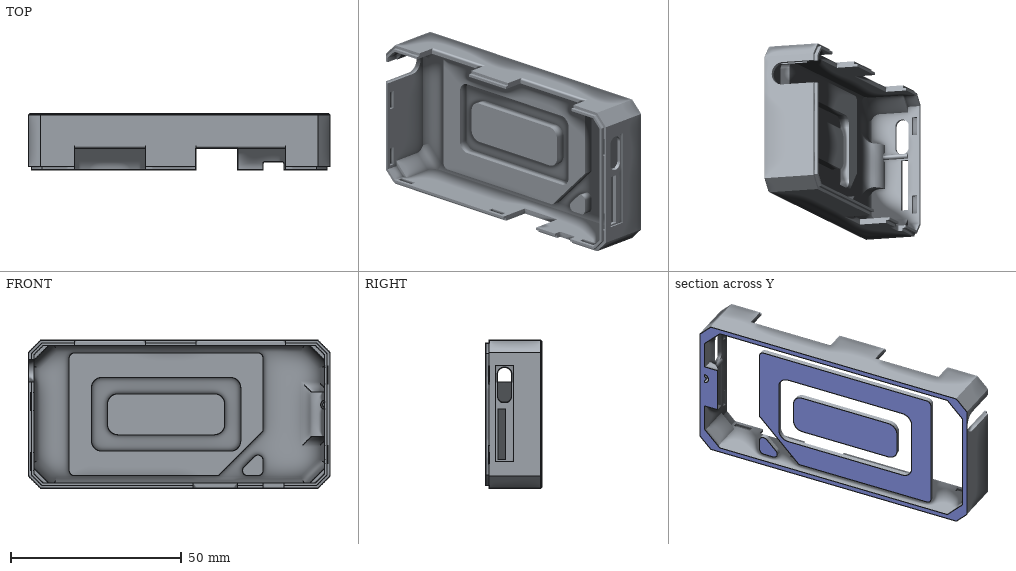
import cadquery as cq
import math

LENGTH = 88.5
DEPTH = 16.5
HEIGHT = 43.5
CORNER_CUT = 3.6
WALL = 1.6
FLOOR = 0.8
BACK_CHAMFER = 0.4
FRONT_Y = -DEPTH / 2
BACK_Y = DEPTH / 2
FLOOR_Y = BACK_Y - FLOOR

LIP_INSET = 0.85
LIP_HEIGHT = 1.0
SHOULDER_Y = FRONT_Y + LIP_HEIGHT

FLOOR_FILLET = 3.0
ROUNDED_CAVITY_INSET = 0.35
CORNER_WALL = 2.75
THIN_CORNER_DEPTH = 3.65

PAD_TOP_Y = 4.7
PAD_CENTER_X = -3.85
PAD_LENGTH = 56.9
PAD_HEIGHT = 36.0
PAD_RADIUS = 1.5
PAD_CUT = 13.1
POCKET_LENGTH = 43.8
POCKET_HEIGHT = 21.6
ISLAND_LENGTH = 34.4
ISLAND_HEIGHT = 12.0
POCKET_RADIUS = 3.0
POST_LEG = 8.15

BOSS_RADIUS = 4.8
BOSS_X = 43.0
BOSS_HEIGHT = 13.0
BOSS_FILLET = 3.0
ROD_SINK = 0.2
ROD_RADIUS = 0.75
ROD_CLEARANCE_RADIUS = 1.35
ROD_Z = 2.8
ROD_FRONT_Y = -4.5

TOP_NOTCHES = ((-30.8, -9.9), (4.9, 31.25))
TOP_NOTCH_Y = -1.3
TOP_NOTCH_ROUND = 0.6
BOTTOM_NOTCH = (4.0, 17.1)
BOTTOM_NOTCH_Y = 0.9
SMALL_NOTCH = (24.6, 30.7)
SMALL_NOTCH_Y = -5.9
SMALL_NOTCH_RADIUS = 0.5

SIDE_SLOT_Z = (9.5, 16.15)
SIDE_SLOT_END_Y = 5.8
ROUND_END_MARGIN = 0.001
OBROUND_Y = (-4.8, -0.6)
OBROUND_Z = (3.4, 13.8)
SLIT_Y = (-4.6, -2.4)
SLIT_Z = (-13.3, 1.6)
OUTER_RECESS_MARGIN = 0.5
OUTER_RECESS_DEPTH = 0.5

SNAP_LENGTH = 5.3
SNAP_BACK_Y = -5.8
SIDE_SNAP_FRONT_Y = SHOULDER_Y - 0.1
SIDE_SNAP_SKIN = 0.6
BOTTOM_SNAP_SKIN = LIP_INSET
LEFT_SNAP_Z = (3.75, -13.9)
RIGHT_SNAP_Z = (11.6, -11.8)
BOTTOM_SNAP_X = (-36.7, -0.2, 36.5)


def box(x_range, y_range, z_range):
    """Axis-aligned box between pairs of limits."""
    size = [high - low for low, high in (x_range, y_range, z_range)]
    return cq.Workplane("XY").box(*size, centered=False).translate(
        (x_range[0], y_range[0], z_range[0])
    )


def face_plane(y):
    """Sketch plane at depth y, facing -Y, with sketch axes along +X and +Z."""
    return cq.Workplane("XZ", origin=(0, y, 0))


def octagon(y_front, y_back, inset, corner_inset):
    """Prism of the cut-corner outline, shrunk by one inset on the sides and another on the corners."""
    half_x = LENGTH / 2 - inset
    half_z = HEIGHT / 2 - inset
    cut = CORNER_CUT + math.sqrt(2) * corner_inset - 2 * inset
    return (
        face_plane(y_back)
        .rect(2 * half_x, 2 * half_z)
        .extrude(y_back - y_front)
        .edges("|Y")
        .chamfer(cut)
    )


def make_shell():
    """Tray with its rear edge chamfered, a mating lip, and the hollowed cavity."""
    body = octagon(SHOULDER_Y, BACK_Y, 0, 0).faces(">Y").chamfer(BACK_CHAMFER)
    lip = octagon(FRONT_Y, SHOULDER_Y, LIP_INSET, LIP_INSET)
    rounded = octagon(FRONT_Y, FLOOR_Y, ROUNDED_CAVITY_INSET, CORNER_WALL)
    rounded = rounded.faces(">Y").edges().fillet(FLOOR_FILLET)
    cavity = rounded.intersect(octagon(FRONT_Y, FLOOR_Y, WALL, WALL))
    rim = octagon(FRONT_Y, FRONT_Y + THIN_CORNER_DEPTH, WALL, WALL)
    return body.union(lip).cut(cavity).cut(rim)


def rounded_block(length, height):
    """Rounded rectangle rising from the floor to the top of the pad."""
    return (
        face_plane(FLOOR_Y)
        .center(PAD_CENTER_X, 0)
        .rect(length, height)
        .extrude(FLOOR_Y - PAD_TOP_Y)
        .edges("|Y")
        .fillet(POCKET_RADIUS)
    )


def make_pad():
    """Floor pad with one corner cut off, a ring pocket, and a small post beside the cut."""
    right = PAD_CENTER_X + PAD_LENGTH / 2
    bottom = -PAD_HEIGHT / 2
    rise = FLOOR_Y - PAD_TOP_Y + FLOOR / 2
    root = face_plane(FLOOR_Y + FLOOR / 2)
    pad = (
        root.center(PAD_CENTER_X, 0)
        .rect(PAD_LENGTH, PAD_HEIGHT)
        .extrude(rise)
        .edges("|Y and (<X or >Z)")
        .fillet(PAD_RADIUS)
    )
    corner = (
        root.moveTo(right, bottom)
        .lineTo(right, bottom + PAD_CUT)
        .lineTo(right - PAD_CUT, bottom)
        .close()
        .extrude(rise)
    )
    post = (
        root.moveTo(right, bottom)
        .lineTo(right, bottom + POST_LEG)
        .lineTo(right - POST_LEG, bottom)
        .close()
        .extrude(rise)
        .edges("|Y")
        .fillet(PAD_RADIUS)
    )
    ring = rounded_block(POCKET_LENGTH, POCKET_HEIGHT).cut(rounded_block(ISLAND_LENGTH, ISLAND_HEIGHT))
    return pad.cut(corner).cut(ring).union(post)


def make_boss():
    """Half cylinder along Z with flat ends, blended into the floor on every side."""
    r = BOSS_FILLET
    reach = BOSS_RADIUS + r
    blend_span = math.sqrt(reach**2 - r**2)
    blend_y = FLOOR_Y - r
    blend_x = BOSS_X - blend_span
    tangent_x = BOSS_X - blend_span * BOSS_RADIUS / reach
    tangent_y = FLOOR_Y - r * BOSS_RADIUS / reach
    crest_y = FLOOR_Y - BOSS_RADIUS
    tangent_angle = math.asin(r / reach)
    blend_mid = (math.pi / 2 - tangent_angle) / 2
    crest_mid = (math.pi / 2 + tangent_angle) / 2
    ridge = (
        cq.Workplane("XY")
        .moveTo(blend_x, FLOOR_Y)
        .threePointArc(
            (blend_x + r * math.sin(blend_mid), blend_y + r * math.cos(blend_mid)),
            (tangent_x, tangent_y),
        )
        .threePointArc(
            (BOSS_X - BOSS_RADIUS * math.cos(crest_mid), FLOOR_Y - BOSS_RADIUS * math.sin(crest_mid)),
            (BOSS_X, crest_y),
        )
        .lineTo(BOSS_X, FLOOR_Y)
        .close()
        .extrude(BOSS_HEIGHT / 2 + r, both=True)
    )
    side = BOSS_HEIGHT / 2
    clear_y = crest_y - BOSS_FILLET
    ends = (
        cq.Workplane("YZ", origin=(blend_x, 0, 0))
        .moveTo(FLOOR_Y, -side - r)
        .radiusArc((blend_y, -side), -r)
        .lineTo(clear_y, -side)
        .lineTo(clear_y, side)
        .lineTo(blend_y, side)
        .radiusArc((FLOOR_Y, side + r), -r)
        .close()
        .extrude(BOSS_X - blend_x)
    )
    return ridge.intersect(ends)


def rod_bar(radius):
    """Round bar along Y from the floor, sunk slightly past the inner face of the +X wall."""
    bar = face_plane(FLOOR_Y).center(LENGTH / 2 - WALL + ROD_SINK, ROD_Z).circle(radius)
    return bar.extrude(FLOOR_Y - ROD_FRONT_Y)


def cut_long_walls(shell):
    """Notches along the rim of the top and bottom walls."""
    top_z = HEIGHT / 2
    bottom_z = (-top_z, -top_z + WALL)
    notch_floor_y = TOP_NOTCH_Y - TOP_NOTCH_ROUND
    for x_range in TOP_NOTCHES:
        profile = (
            cq.Workplane("YZ", origin=(x_range[0], 0, 0))
            .moveTo(FRONT_Y, top_z)
            .lineTo(TOP_NOTCH_Y, top_z)
            .radiusArc((notch_floor_y, top_z - TOP_NOTCH_ROUND), -TOP_NOTCH_ROUND)
            .lineTo(notch_floor_y, top_z - 2 * WALL)
            .lineTo(FRONT_Y, top_z - 2 * WALL)
            .close()
        )
        shell = shell.cut(profile.extrude(x_range[1] - x_range[0]))
    small_notch = box(SMALL_NOTCH, (FRONT_Y, SMALL_NOTCH_Y), bottom_z)
    small_notch = small_notch.edges("|Z and >Y").fillet(SMALL_NOTCH_RADIUS)
    return shell.cut(box(BOTTOM_NOTCH, (FRONT_Y, BOTTOM_NOTCH_Y), bottom_z)).cut(small_notch)


def cut_short_walls(shell):
    """Round-ended slot in the -X wall; obround window and slit in a recessed strip of the +X wall."""
    left_wall = (-LENGTH / 2, -LENGTH / 2 + WALL)
    right_wall = (LENGTH / 2 - WALL, LENGTH / 2)
    side_radius = (SIDE_SLOT_Z[1] - SIDE_SLOT_Z[0]) / 2 - ROUND_END_MARGIN
    side_slot = box(left_wall, (FRONT_Y, SIDE_SLOT_END_Y), SIDE_SLOT_Z)
    side_slot = side_slot.edges("|X and >Y").fillet(side_radius)
    obround_radius = (OBROUND_Y[1] - OBROUND_Y[0]) / 2 - ROUND_END_MARGIN
    obround = box(right_wall, OBROUND_Y, OBROUND_Z).edges("|X").fillet(obround_radius)
    slit = box(right_wall, SLIT_Y, SLIT_Z)
    margin = OUTER_RECESS_MARGIN
    recess = box(
        (LENGTH / 2 - OUTER_RECESS_DEPTH, LENGTH / 2),
        (OBROUND_Y[0] - margin, OBROUND_Y[1] + margin),
        (SLIT_Z[0] - margin, OBROUND_Z[1] + margin),
    )
    return shell.cut(side_slot).cut(obround).cut(slit).cut(recess)


def cut_snap_slots(shell):
    """Blind slots on the inner faces of the -X, +X and bottom walls."""
    half = SNAP_LENGTH / 2
    side_depth = (LENGTH / 2 - WALL, LENGTH / 2 - SIDE_SNAP_SKIN)
    left_depth = (-side_depth[1], -side_depth[0])
    bottom_depth = (-HEIGHT / 2 + BOTTOM_SNAP_SKIN, -HEIGHT / 2 + WALL)
    side_y = (SIDE_SNAP_FRONT_Y, SNAP_BACK_Y)
    for z in LEFT_SNAP_Z:
        shell = shell.cut(box(left_depth, side_y, (z - half, z + half)))
    for z in RIGHT_SNAP_Z:
        shell = shell.cut(box(side_depth, side_y, (z - half, z + half)))
    for x in BOTTOM_SNAP_X:
        shell = shell.cut(box((x - half, x + half), (SHOULDER_Y, SNAP_BACK_Y), bottom_depth))
    return shell


tray = cut_snap_slots(cut_short_walls(cut_long_walls(make_shell())))
boss = make_boss().cut(rod_bar(ROD_CLEARANCE_RADIUS))
result = tray.union(make_pad()).union(boss).union(rod_bar(ROD_RADIUS))